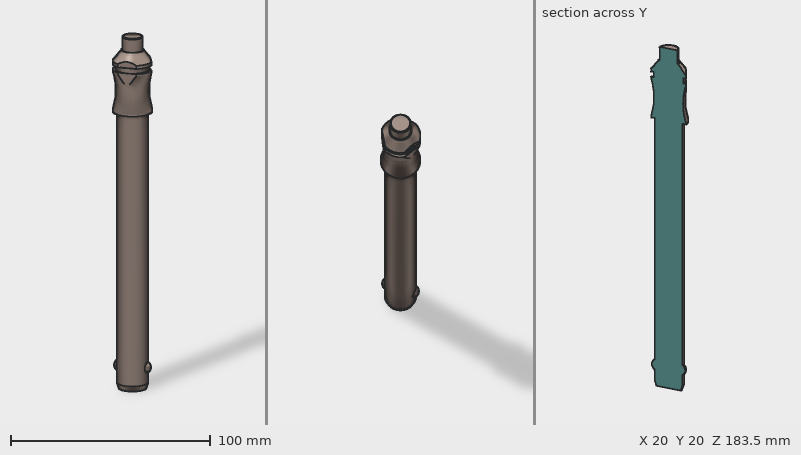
import cadquery as cq
import math

total_length = 183.5
tip_taper_length = 3.0
shank_length = 144.25
handle_rim_height = 1.0
grip_length = 20.0
neck_length = 2.75
collar_rim_height = 1.75
collar_cone_height = 4.35
collar_flare_height = 1.15

tip_radius = 7.0
shank_radius = 8.0
waist_radius = 8.4
neck_radius = 8.5
handle_radius = 10.0
cone_top_radius = 6.5
collar_flare_radius = 2.0
collar_top_radius = 5.75
button_radius = 5.25
button_chamfer = 0.5

ball_radius = 3.2
ball_height = 11.4
ball_reach = 9.65
ball_angles = (0, 180)

flat_offset = 8.75
flat_count = 3
first_flat_angle = -90

grip_bottom = shank_length + handle_rim_height
grip_middle = grip_bottom + grip_length / 2
grip_top = grip_bottom + grip_length
neck_bottom = grip_top + handle_rim_height
collar_bottom = neck_bottom + neck_length
cone_bottom = collar_bottom + collar_rim_height
cone_top = cone_bottom + collar_cone_height
collar_top = cone_top + collar_flare_height


def make_body():
    """Revolve the pin: tapered tip, shank, waisted handle, neck, flared collar and button."""
    profile = (
        cq.Workplane("XZ")
        .lineTo(tip_radius, 0)
        .lineTo(shank_radius, tip_taper_length)
        .lineTo(shank_radius, shank_length)
        .lineTo(handle_radius, shank_length)
        .lineTo(handle_radius, grip_bottom)
        .threePointArc((waist_radius, grip_middle), (handle_radius, grip_top))
        .lineTo(handle_radius, neck_bottom)
        .lineTo(neck_radius, neck_bottom)
        .lineTo(neck_radius, collar_bottom)
        .lineTo(handle_radius, collar_bottom)
        .lineTo(handle_radius, cone_bottom)
        .lineTo(cone_top_radius, cone_top)
        .radiusArc((collar_top_radius, collar_top), collar_flare_radius)
        .lineTo(button_radius, collar_top)
        .lineTo(button_radius, total_length)
        .lineTo(0, total_length)
        .close()
    )
    body = profile.revolve(360, (0, 0, 0), (0, 1, 0))
    return body.faces(">Z").edges().chamfer(button_chamfer)


def make_flat_cutter(angle):
    """Block that removes everything beyond one flat, from mid grip to the button top."""
    height = total_length - grip_middle
    block = cq.Workplane("XY").box(
        handle_radius, 2 * handle_radius, height, centered=(False, True, False)
    )
    return block.translate((flat_offset, 0, grip_middle)).rotate((0, 0, 0), (0, 0, 1), angle)


def make_ball(angle):
    """Locking ball that stands out of the shank near the tip."""
    center_distance = ball_reach - ball_radius
    x = center_distance * math.cos(math.radians(angle))
    y = center_distance * math.sin(math.radians(angle))
    return cq.Workplane("XY").sphere(ball_radius).translate((x, y, ball_height))


result = make_body()
for index in range(flat_count):
    result = result.cut(make_flat_cutter(first_flat_angle + index * 360 / flat_count))
for ball_angle in ball_angles:
    result = result.union(make_ball(ball_angle))